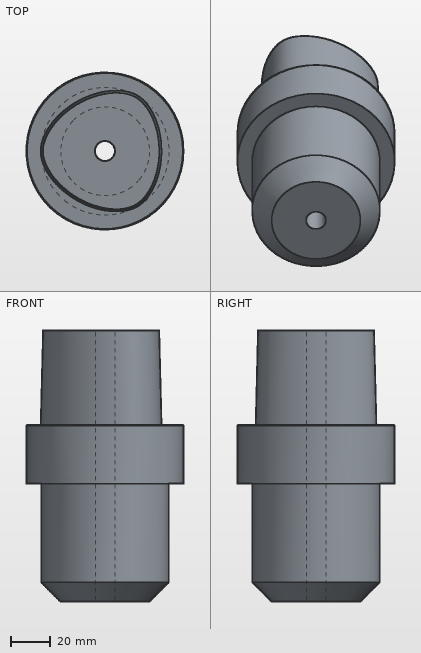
import cadquery as cq
import math

total_height = 138.0
shank_height = 60.0
flange_height = 30.0
flange_top = shank_height + flange_height
taper_height = total_height - flange_top

flange_diameter = 80.0
flange_edge_chamfer = 0.4
shank_diameter = 65.0
shank_end_chamfer = 10.0
bore_diameter = 10.1

cone_base_radius = 30.8
cone_taper = 1 / 20
cone_top_radius = cone_base_radius - taper_height * cone_taper / 2
lobe_eccentricity = 2.0
profile_points = 48


def lobed_profile(mean_radius):
    """Points of a constant-width curve with three lobes, one pointing to -X."""
    points = []
    for index in range(profile_points):
        angle = 2 * math.pi * index / profile_points
        x = (
            mean_radius * math.cos(angle)
            - 2 * lobe_eccentricity * math.cos(2 * angle)
            + lobe_eccentricity * math.cos(4 * angle)
        )
        y = (
            mean_radius * math.sin(angle)
            + 2 * lobe_eccentricity * math.sin(2 * angle)
            + lobe_eccentricity * math.sin(4 * angle)
        )
        points.append((x, y))
    return points


def make_shank():
    shank = cq.Workplane("XY").circle(shank_diameter / 2).extrude(shank_height)
    return shank.faces("<Z").chamfer(shank_end_chamfer)


def make_flange():
    flange = cq.Workplane("XY", origin=(0, 0, shank_height))
    flange = flange.circle(flange_diameter / 2).extrude(flange_height)
    return flange.faces(">Z").edges().chamfer(flange_edge_chamfer)


def make_cone():
    return (
        cq.Workplane("XY", origin=(0, 0, flange_top))
        .spline(lobed_profile(cone_base_radius), periodic=True)
        .close()
        .workplane(offset=taper_height)
        .spline(lobed_profile(cone_top_radius), periodic=True)
        .close()
        .loft(ruled=True, combine=True)
    )


bore = cq.Workplane("XY").circle(bore_diameter / 2).extrude(total_height)
result = make_shank().union(make_flange()).union(make_cone()).cut(bore)